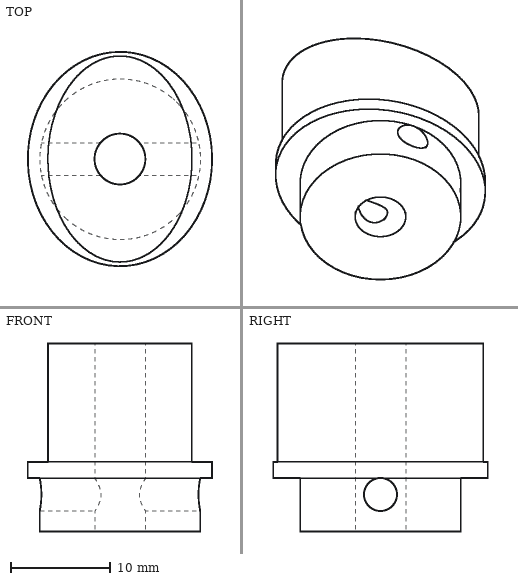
import cadquery as cq

base_height = 5.4
flange_height = 1.62
body_height = 11.96
total_height = base_height + flange_height + body_height

base_diameter = 16.2
flange_x = 18.6
flange_y = 21.63
body_x = 14.54
body_y = 20.76

bore_diameter = 5.1
cross_hole_diameter = 3.3
cross_hole_z = base_height - cross_hole_diameter / 2


def elliptic_cylinder(size_x, size_y, bottom_z, height):
    """Upright elliptic cylinder centred on the Z axis."""
    plane = cq.Workplane("XY").workplane(offset=bottom_z)
    return plane.ellipse(size_x / 2, size_y / 2).extrude(height)


base = cq.Workplane("XY").circle(base_diameter / 2).extrude(base_height)
flange = elliptic_cylinder(flange_x, flange_y, base_height, flange_height)
body = elliptic_cylinder(body_x, body_y, base_height + flange_height, body_height)

bore = cq.Workplane("XY").circle(bore_diameter / 2).extrude(total_height)

cross_hole = (
    cq.Workplane("YZ")
    .center(0, cross_hole_z)
    .circle(cross_hole_diameter / 2)
    .extrude(base_diameter / 2, both=True)
)

result = base.union(flange).union(body).cut(bore).cut(cross_hole)